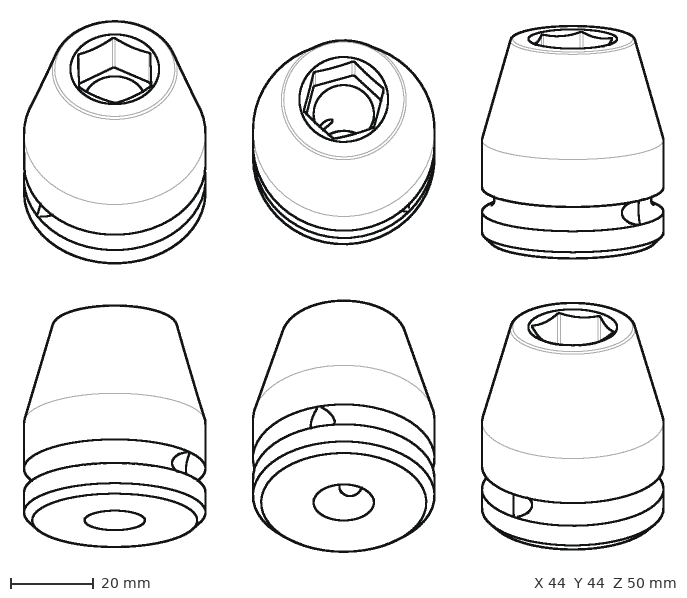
import cadquery as cq
import math

height = 50.0
body_radius = 22.0
nose_radius = 15.0
taper_start = 25.0
nose_rounding = 0.6
base_chamfer_height = 2.0
base_chamfer_width = 2.0

groove_height = 10.2
groove_radius = 3.0
pin_hole_diameter = 2 * groove_radius

hex_across_flats = 17.5
hex_corner_rounding = 0.7
hex_depth = 12.0
lead_in_diameter = 21.5
lead_in_angle = 30.0
bore_diameter = 14.6


def make_body():
    """Revolved body: chamfered base, cylinder and tapered nose with a rounded rim."""
    profile = (
        cq.Workplane("XZ")
        .lineTo(body_radius - base_chamfer_width, 0)
        .lineTo(body_radius, base_chamfer_height)
        .lineTo(body_radius, taper_start)
        .lineTo(nose_radius, height)
        .lineTo(0, height)
        .close()
    )
    body = profile.revolve(360, (0, 0, 0), (0, 1, 0))
    return body.faces(">Z").edges().fillet(nose_rounding)


def make_groove():
    """Ring of circular section centred on the outer cylinder."""
    section = cq.Workplane("XZ").center(body_radius, groove_height).circle(groove_radius)
    return section.revolve(360, (-body_radius, 0, 0), (-body_radius, 1, 0))


def make_pin_hole():
    """Cross hole along Y at the middle of the groove."""
    section = cq.Workplane("XZ").center(0, groove_height).circle(pin_hole_diameter / 2)
    return section.extrude(body_radius, both=True)


def make_socket():
    """Hexagon with corners on the Y axis, slightly rounded."""
    across_corners = hex_across_flats / math.cos(math.radians(30))
    floor = cq.Workplane("XY").workplane(offset=height - hex_depth)
    hexagon = floor.polygon(6, across_corners).extrude(hex_depth)
    hexagon = hexagon.edges("|Z").fillet(hex_corner_rounding)
    return hexagon.rotate((0, 0, 0), (0, 0, 1), 90)


def make_lead_in():
    """Cone that opens the mouth of the socket."""
    radius = lead_in_diameter / 2
    depth = radius * math.tan(math.radians(lead_in_angle))
    profile = (
        cq.Workplane("XZ")
        .moveTo(0, height)
        .lineTo(radius, height)
        .lineTo(0, height - depth)
        .close()
    )
    return profile.revolve(360, (0, 0, 0), (0, 1, 0))


bore = cq.Workplane("XY").circle(bore_diameter / 2).extrude(height)

result = (
    make_body()
    .cut(make_groove())
    .cut(make_pin_hole())
    .cut(bore)
    .cut(make_socket())
    .cut(make_lead_in())
)